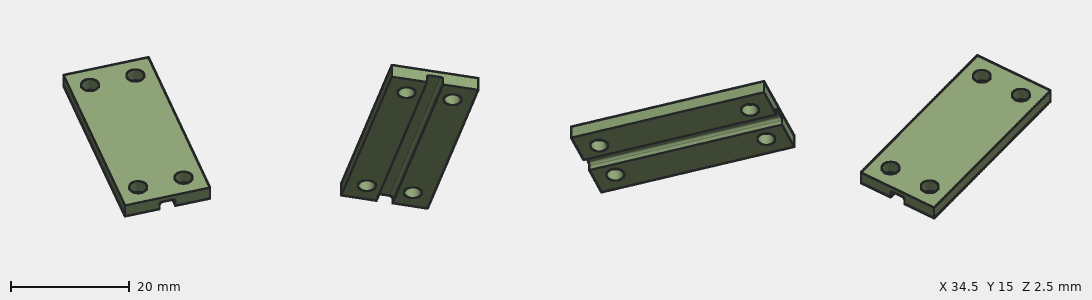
import cadquery as cq

length = 34.5
width = 15.0
thickness = 2.5

hole_diameter = 3.0
hole_spacing_x = 27.0
hole_spacing_y = 8.0

channel_width = 2.8
channel_depth = 1.5
channel_corner_radius = 0.5


def make_plate():
    """Flat plate resting on Z = 0, centred in X and Y."""
    return cq.Workplane("XY").box(length, width, thickness, centered=(True, True, False))


def make_channel():
    """Solid to remove for the channel, with its two roof corners rounded."""
    channel = cq.Workplane("XY").box(length, channel_width, channel_depth, centered=(True, True, False))
    return channel.faces(">Z").edges("|X").fillet(channel_corner_radius)


def drill_holes(plate):
    """Drill the rectangular pattern of holes through the plate."""
    return (
        plate.faces(">Z")
        .workplane(origin=(0, 0, thickness))
        .rect(hole_spacing_x, hole_spacing_y, forConstruction=True)
        .vertices()
        .hole(hole_diameter)
    )


result = drill_holes(make_plate()).cut(make_channel())